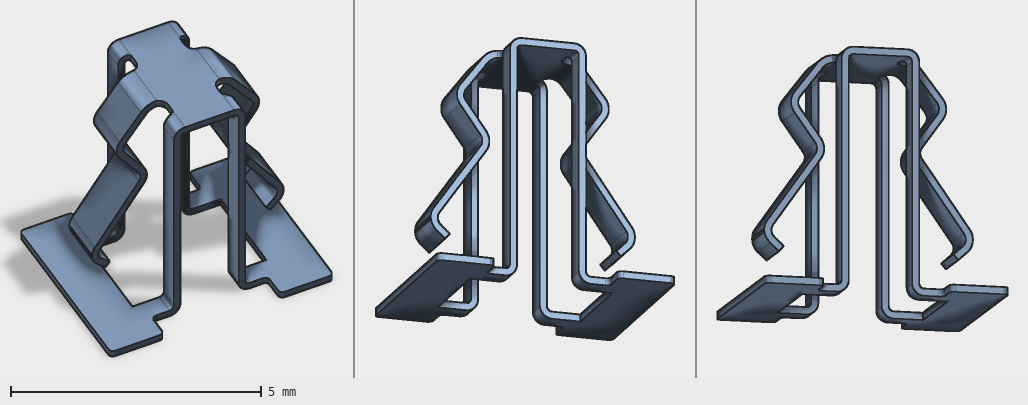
import cadquery as cq
import math

height = 5.0
sheet = 0.15
inner_bend = 0.1
outer_bend = inner_bend + sheet

foot_width = 4.0
foot_end = 2.5
foot_inner_edge = 1.3
foot_corner_radius = 0.1
neck_radius = 0.1

frame_width = 2.9
leg_outer_face = 0.8
leg_inner_face = leg_outer_face - sheet

window_width = 2.0
window_start = leg_outer_face - outer_bend
window_end = 1.5
window_corner_radius = 0.1
corner_curve_steps = 8

arm_width = 1.0
arm_root_radius = 0.2
shoulder_radius = 0.45
arm_bend_radius = 0.35
arm_bends = [
    (0.7, height - shoulder_radius, shoulder_radius),
    (1.25, 4.005, arm_bend_radius),
    (1.265, 3.085, sheet - arm_bend_radius),
    (1.8, 1.38, arm_bend_radius),
]
tip_angle = 42.0
tip_length = 0.25

pad_width = 0.92
pad_height = 0.06
pad_center_z = 1.37
pad_rise = 0.0025


def extrude_across(profile, width):
    """Extrude a YZ profile symmetrically along X."""
    return profile.extrude(width / 2, both=True)


def mirror_front_to_back(half):
    return half.union(half.mirror("XZ"))


def make_frame_half():
    """One full-width side of the frame: half the top plate, a wall and a foot."""
    profile = (
        cq.Workplane("YZ")
        .moveTo(0, height)
        .lineTo(leg_outer_face - outer_bend, height)
        .radiusArc((leg_outer_face, height - outer_bend), outer_bend)
        .lineTo(leg_outer_face, sheet + inner_bend)
        .radiusArc((leg_outer_face + inner_bend, sheet), -inner_bend)
        .lineTo(foot_end, sheet)
        .lineTo(foot_end, 0)
        .lineTo(leg_inner_face + outer_bend, 0)
        .radiusArc((leg_inner_face, outer_bend), outer_bend)
        .lineTo(leg_inner_face, height - outer_bend)
        .radiusArc((leg_inner_face - inner_bend, height - sheet), -inner_bend)
        .lineTo(0, height - sheet)
        .close()
    )
    return extrude_across(profile, frame_width)


def make_foot():
    """Wide foot plate with rounded corners."""
    return (
        cq.Workplane("XY")
        .rect(foot_width, foot_end - foot_inner_edge)
        .extrude(sheet)
        .edges("|Z")
        .fillet(foot_corner_radius)
        .translate((0, (foot_end + foot_inner_edge) / 2, 0))
    )


def make_neck_fillets():
    """Concave fillets where the frame runs into the foot."""
    side = frame_width / 2
    fillet = (
        cq.Workplane("XY")
        .moveTo(side, foot_inner_edge - neck_radius)
        .radiusArc((side + neck_radius, foot_inner_edge), neck_radius)
        .lineTo(side, foot_inner_edge)
        .close()
        .extrude(sheet)
    )
    return fillet.union(fillet.mirror("YZ"))


def make_window():
    """Opening through the full height, from the top plate down into the feet."""
    return (
        cq.Workplane("XY")
        .center(0, (window_end + window_start) / 2)
        .rect(window_width, window_end - window_start)
        .extrude(height)
    )


def make_window_corners():
    """Concave corner fillets between top plate and legs, wrapped around the leg bends.

    The fillet is a quarter circle on the flat sheet, with lengths measured along the inside of the bend.
    Rolled up, its cut face runs radially from the bend axis, so flat sections across the
    middle direction keep the same X and grow in proportion to their distance from the axis.
    """
    wrap_angle = window_corner_radius / inner_bend
    middle = wrap_angle / 2
    leg_side = window_width / 2
    bend_axis = (0, window_start, height - outer_bend)
    middle_plane = cq.Plane(bend_axis, (1, 0, 0), (0, math.sin(middle), math.cos(middle)))

    curve = []
    for step in range(corner_curve_steps + 1):
        turn = math.pi / 2 * step / corner_curve_steps
        x = leg_side - window_corner_radius * (1 - math.sin(turn))
        curve.append((x, math.tan(wrap_angle * (1 - math.cos(turn)) - middle)))

    def add_section(plane, distance):
        points = [(x, distance * spread) for x, spread in curve]
        return (
            plane.moveTo(*points[0])
            .spline(points[1:], includeCurrent=True)
            .lineTo(leg_side, points[0][1])
            .close()
        )

    near = inner_bend / 2
    far = outer_bend + inner_bend
    wedge = add_section(cq.Workplane(middle_plane).workplane(offset=near), near)
    wedge = add_section(wedge.workplane(offset=far - near, origin=bend_axis), far)
    wedge = wedge.loft(ruled=True)

    bend_tube = (
        cq.Workplane("YZ")
        .center(window_start, height - outer_bend)
        .circle(outer_bend)
        .circle(inner_bend)
        .extrude(leg_side)
    )
    corner = wedge.intersect(bend_tube)
    return corner.union(corner.mirror("YZ"))


def slope_between(bend, next_bend):
    """Downward slope of the straight strip tangent to two consecutive bends."""
    run = next_bend[0] - bend[0]
    rise = next_bend[1] - bend[1]
    center_line_angle = math.atan2(run, rise)
    return center_line_angle - math.acos((bend[2] - next_bend[2]) / math.hypot(run, rise))


def point_on_bend(bend, slope, depth):
    """Point where the arm has the given slope, at a depth below its upper face."""
    y, z, radius = bend
    offset = radius - depth
    return (y + offset * math.sin(slope), z + offset * math.cos(slope))


def make_arm():
    """Spring arm of constant thickness, flared where it leaves the top plate."""
    slopes = [0.0]
    slopes += [slope_between(a, b) for a, b in zip(arm_bends, arm_bends[1:])]
    slopes.append(math.pi - math.radians(tip_angle))
    tip_y = tip_length * math.cos(slopes[-1])
    tip_z = -tip_length * math.sin(slopes[-1])

    profile = cq.Workplane("YZ").moveTo(window_start, height)
    for bend, start, end in zip(arm_bends, slopes, slopes[1:]):
        profile = profile.lineTo(*point_on_bend(bend, start, 0))
        middle = point_on_bend(bend, (start + end) / 2, 0)
        profile = profile.threePointArc(middle, point_on_bend(bend, end, 0))
    profile = profile.line(tip_y, tip_z)

    lower_end = point_on_bend(arm_bends[-1], slopes[-1], sheet)
    profile = profile.lineTo(lower_end[0] + tip_y, lower_end[1] + tip_z)
    for bend, start, end in reversed(list(zip(arm_bends, slopes, slopes[1:]))):
        profile = profile.lineTo(*point_on_bend(bend, end, sheet))
        middle = point_on_bend(bend, (start + end) / 2, sheet)
        profile = profile.threePointArc(middle, point_on_bend(bend, start, sheet))
    profile = profile.lineTo(window_start, height - sheet).close()

    root_width = arm_width + 2 * arm_root_radius
    root_end = window_start + arm_root_radius
    outline = (
        cq.Workplane("XY")
        .moveTo(-root_width / 2, window_start)
        .radiusArc((-arm_width / 2, root_end), -arm_root_radius)
        .lineTo(-arm_width / 2, foot_end)
        .lineTo(arm_width / 2, foot_end)
        .lineTo(arm_width / 2, root_end)
        .radiusArc((root_width / 2, window_start), -arm_root_radius)
        .close()
        .extrude(height)
    )
    return extrude_across(profile, root_width).intersect(outline)


def make_contact_pad():
    """Flat pad standing slightly proud of the lowest arm bend."""
    bend_y, _, bend_radius = arm_bends[-1]
    pad_face = bend_y + bend_radius + pad_rise
    pad_depth = sheet / 2
    pad_center = (0, pad_face - pad_depth / 2, pad_center_z)
    return cq.Workplane("XY").box(pad_width, pad_depth, pad_height).translate(pad_center)


half_clip = make_frame_half().union(make_foot()).union(make_neck_fillets())
half_clip = half_clip.cut(make_window()).union(make_arm())
clip = mirror_front_to_back(half_clip).clean()

for detail in (make_window_corners(), make_contact_pad()):
    clip = clip.union(mirror_front_to_back(detail))

result = clip.solids()